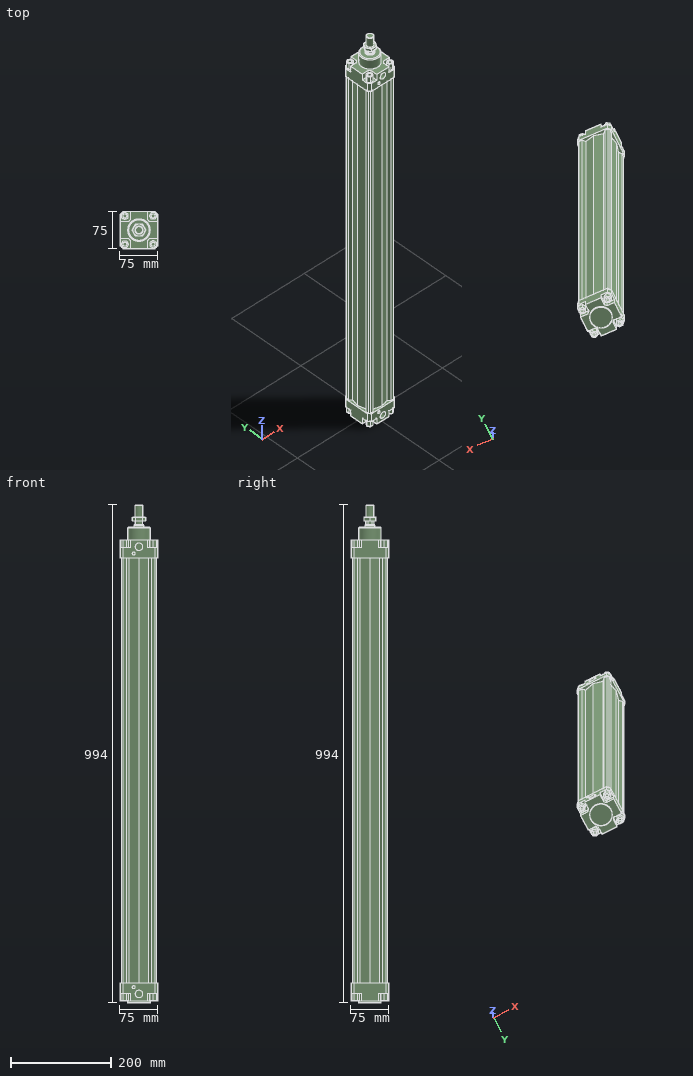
import cadquery as cq
import math

total_length = 994.0
rod_reach = 69.0
spigot_length = 4.0
rear_face = rod_reach + spigot_length - total_length

cap_size = 75.0
cap_height = 36.0
cap_corner_chamfer = 6.0
pocket_depth = 15.0
tab_width = 34.0
pocket_inner_chamfer = 4.0

screw_offset = 28.25
screw_across_flats = 13.0
screw_bore_diameter = 8.0
screw_bore_depth = 12.0

port_diameter = 15.0
port_depth = 12.0
port_inset = 14.0
cushion_diameter = 6.0
cushion_depth = 5.0
cushion_inset = 27.5
cushion_offset = -10.5

boss_diameter = 45.0
boss_height = 25.8
boss_chamfer = 2.0

tube_half = 35.0
tube_corner_chamfer = 3.0
land_inner = 25.0
valley_offset = 19.5
wall_depth = land_inner - valley_offset
valley_half = tube_half - wall_depth
ridge_half = 34.3

rod_diameter = 20.0
rod_end = 30.0
rod_chamfer = 1.0
neck_diameter = 17.0
neck_across_flats = 15.0
neck_end = 37.0
thread_diameter = 16.0
thread_chamfer = 1.0
rod_depth = cap_height

nut_across_flats = 24.0
nut_height = 8.0
nut_bevel_height = 1.0
nut_bevel_width = 2.0
nut_base = neck_end


def across_corners(across_flats):
    """Corner-to-corner size of a hexagon."""
    return across_flats / math.cos(math.pi / 6)


def corner_pocket():
    """Cutter for the corner pocket at +X +Y, reaching down from Z = 0."""
    side = cap_size / 2
    return (
        cq.Workplane("XY")
        .box(side, side, pocket_depth, centered=False)
        .edges("|Z and <X and <Y")
        .chamfer(pocket_inner_chamfer)
        .translate((tab_width / 2, tab_width / 2, -pocket_depth))
    )


def cap_screw():
    """Bored hexagon screw head at +X +Y, flush with the cap face at Z = 0."""
    return (
        cq.Workplane("XY", origin=(screw_offset, screw_offset, 0))
        .polygon(6, across_corners(screw_across_flats))
        .extrude(-pocket_depth)
        .faces(">Z")
        .workplane()
        .hole(screw_bore_diameter, screw_bore_depth)
    )


def end_cap():
    """Cap with its outer face at Z = 0 and its body below."""
    cap = (
        cq.Workplane("XY")
        .rect(cap_size, cap_size)
        .extrude(-cap_height)
        .edges("|Z")
        .chamfer(cap_corner_chamfer)
    )
    for quarter in range(4):
        angle = 90 * quarter
        cap = cap.cut(corner_pocket().rotate((0, 0, 0), (0, 0, 1), angle))
        cap = cap.union(cap_screw().rotate((0, 0, 0), (0, 0, 1), angle))
    return cap


def side_hole(x, z, diameter, depth):
    """Cutter for a blind hole drilled into the -Y face."""
    return (
        cq.Workplane("XZ", origin=(x, -cap_size / 2, z))
        .circle(diameter / 2)
        .extrude(-depth)
    )


def ports(outer_face, inward):
    """Port and cushion screw hole of one cap; inward is the Z direction into the cap."""
    port = side_hole(0, outer_face + inward * port_inset, port_diameter, port_depth)
    cushion_z = outer_face + inward * cushion_inset
    return port.union(side_hole(cushion_offset, cushion_z, cushion_diameter, cushion_depth))


def profile_tube():
    """Tube whose four sides have a shallow ridge between two valleys."""
    corner_flat = tube_half - tube_corner_chamfer
    side = [
        (-corner_flat, -tube_half),
        (-land_inner, -tube_half),
        (-valley_offset, -valley_half),
        (0, -ridge_half),
        (valley_offset, -valley_half),
        (land_inner, -tube_half),
        (corner_flat, -tube_half),
    ]
    outline = []
    for quarter in range(4):
        c = round(math.cos(quarter * math.pi / 2))
        s = round(math.sin(quarter * math.pi / 2))
        outline += [(c * x - s * y, s * x + c * y) for x, y in side]
    top = -cap_height
    bottom = rear_face + cap_height
    return (
        cq.Workplane("XY", origin=(0, 0, bottom))
        .polyline(outline)
        .close()
        .extrude(top - bottom)
    )


def make_housing():
    boss = (
        cq.Workplane("XY")
        .circle(boss_diameter / 2)
        .extrude(boss_height)
        .faces(">Z")
        .chamfer(boss_chamfer)
    )
    spigot = (
        cq.Workplane("XY", origin=(0, 0, rear_face))
        .circle(boss_diameter / 2)
        .extrude(-spigot_length)
    )
    rear_cap = end_cap().mirror("XY").translate((0, 0, rear_face))
    bore = (
        cq.Workplane("XY", origin=(0, 0, -rod_depth))
        .circle(rod_diameter / 2)
        .extrude(rod_depth + boss_height)
    )
    return (
        profile_tube()
        .union(end_cap())
        .union(rear_cap)
        .union(boss)
        .union(spigot)
        .cut(ports(0, -1))
        .cut(ports(rear_face, 1))
        .cut(bore)
    )


def make_piston_rod():
    shank = (
        cq.Workplane("XY", origin=(0, 0, -rod_depth))
        .circle(rod_diameter / 2)
        .extrude(rod_depth + rod_end)
        .faces(">Z")
        .chamfer(rod_chamfer)
    )
    neck = (
        cq.Workplane("XY", origin=(0, 0, rod_end))
        .circle(neck_diameter / 2)
        .extrude(neck_end - rod_end)
    )
    flats = (
        cq.Workplane("XY", origin=(0, 0, rod_end))
        .rect(neck_across_flats, neck_diameter)
        .extrude(neck_end - rod_end)
    )
    thread = (
        cq.Workplane("XY", origin=(0, 0, neck_end))
        .circle(thread_diameter / 2)
        .extrude(rod_reach - neck_end)
        .faces(">Z")
        .chamfer(thread_chamfer)
    )
    return shank.union(neck.intersect(flats)).union(thread)


def make_lock_nut():
    """Hexagon nut whose corners are bevelled on both faces."""
    bevel_blank = (
        cq.Workplane("XY")
        .circle(across_corners(nut_across_flats) / 2)
        .extrude(nut_height)
        .faces("<Z or >Z")
        .chamfer(nut_bevel_height, nut_bevel_width)
    )
    return (
        cq.Workplane("XY")
        .polygon(6, across_corners(nut_across_flats))
        .extrude(nut_height)
        .intersect(bevel_blank)
        .faces(">Z")
        .workplane()
        .hole(thread_diameter)
        .translate((0, 0, nut_base))
    )


housing = make_housing()
piston_rod = make_piston_rod()
lock_nut = make_lock_nut()

result = cq.Compound.makeCompound([housing.val(), piston_rod.val(), lock_nut.val()])